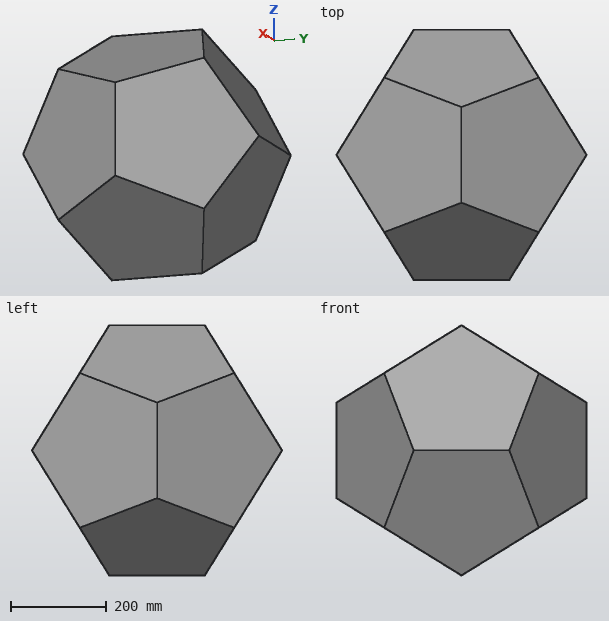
import cadquery as cq
import math

edge_length = 200.0

golden_ratio = (1 + math.sqrt(5)) / 2
half_edge = edge_length / 2
cube_half = half_edge * golden_ratio
outer_half = cube_half * golden_ratio


def cycle_axes(point, steps):
    """Move the coordinates of a point round the axes, X to Y to Z to X."""
    x, y, z = point
    for _ in range(steps):
        x, y, z = z, x, y
    return x, y, z


def pentagon_face(side_x, side_z, steps):
    """One face, mirrored by the two signs and then turned onto another axis pair."""
    corners = [
        (0, -half_edge, outer_half),
        (0, half_edge, outer_half),
        (cube_half, cube_half, cube_half),
        (outer_half, 0, half_edge),
        (cube_half, -cube_half, cube_half),
    ]
    placed = [
        cq.Vector(*cycle_axes((side_x * x, y, side_z * z), steps))
        for x, y, z in corners
    ]
    return cq.Face.makeFromWires(cq.Wire.makePolygon(placed, close=True))


faces = [
    pentagon_face(side_x, side_z, steps)
    for steps in range(3)
    for side_x in (-1, 1)
    for side_z in (-1, 1)
]

dodecahedron = cq.Solid.makeSolid(cq.Shell.makeShell(faces))
result = cq.Workplane("XY").newObject([dodecahedron])